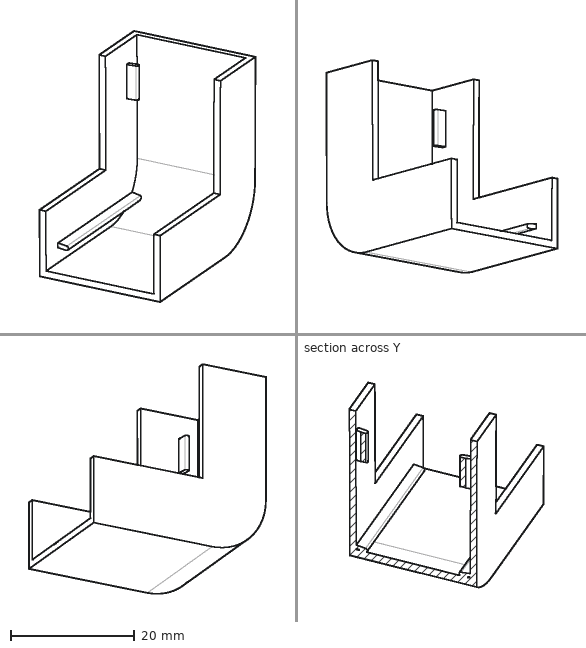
import cadquery as cq
import math

leg_length = 31.7
leg_depth = 11.7
wall = 1.2
outer_radius = 10.0
inner_radius = outer_radius - wall

bottom_width = 22.4
top_width = 22.6

rail_reach = 1.95
rail_thickness = 0.8
rail_tilt = 7.0
rail_root_offset = 4.27
rail_end_gap = 4.0
upright_rail_length = 6.0
rail_embed = 0.6


def elbow_outline(inset, radius, depth, end):
    """Filled L in the YZ plane, with its outer corner rounded."""
    arc_center = inset + radius
    arc_middle = arc_center - radius * math.sqrt(0.5)
    return (
        cq.Workplane("YZ")
        .moveTo(-arc_center, inset)
        .threePointArc((-arc_middle, arc_middle), (-inset, arc_center))
        .lineTo(-inset, end)
        .lineTo(-depth, end)
        .lineTo(-depth, depth)
        .lineTo(-end, depth)
        .lineTo(-end, inset)
        .close()
        .extrude(top_width, both=True)
    )


def leaning_block(inset):
    """Block over the whole part whose sides lean like the side walls."""
    bottom_half = bottom_width / 2 - inset
    top_half = top_width / 2 - inset
    return (
        cq.Workplane("XZ")
        .polyline([
            (-bottom_half, 0),
            (bottom_half, 0),
            (top_half, leg_length),
            (-top_half, leg_length),
        ])
        .close()
        .extrude(leg_length)
    )


def wall_half_gap(height):
    """Half the clear distance between the side walls at a given height."""
    lean = (top_width - bottom_width) / 2 / leg_length
    return bottom_width / 2 - wall + lean * height


def rail_profile(plane, half_gap):
    """Tilted bar with a round tip, rooted in the side wall at +X."""
    half_thickness = rail_thickness / 2
    tip_center = rail_reach - half_thickness
    profile = (
        cq.Sketch()
        .push([(-(tip_center - rail_embed) / 2, 0)])
        .rect(tip_center + rail_embed, rail_thickness)
        .reset()
        .push([(-tip_center, 0)])
        .circle(half_thickness)
        .reset()
        .clean()
    )
    root = cq.Location(cq.Vector(half_gap, rail_root_offset, 0), cq.Vector(0, 0, 1), rail_tilt)
    return cq.Workplane(plane).placeSketch(profile.moved(root))


def floor_rail():
    """Rail above the floor, running on into the rounded corner."""
    profile = rail_profile(cq.Plane.XZ(), wall_half_gap(rail_root_offset))
    return profile.extrude(leg_length - rail_end_gap)


def upright_rail():
    """Short rail in front of the back wall, near the open top."""
    rail_top = leg_length - rail_end_gap
    rail_bottom = rail_top - upright_rail_length
    plane = cq.Plane(origin=(0, 0, rail_top), xDir=(1, 0, 0), normal=(0, 0, -1))
    return rail_profile(plane, wall_half_gap((rail_top + rail_bottom) / 2)).extrude(upright_rail_length)


solid_elbow = elbow_outline(0, outer_radius, leg_depth, leg_length).intersect(leaning_block(0))
cavity = elbow_outline(wall, inner_radius, leg_depth, leg_length).intersect(leaning_block(wall))
rails = floor_rail().union(upright_rail())
rails = rails.union(rails.mirror("YZ"))
result = solid_elbow.cut(cavity).union(rails.intersect(solid_elbow))